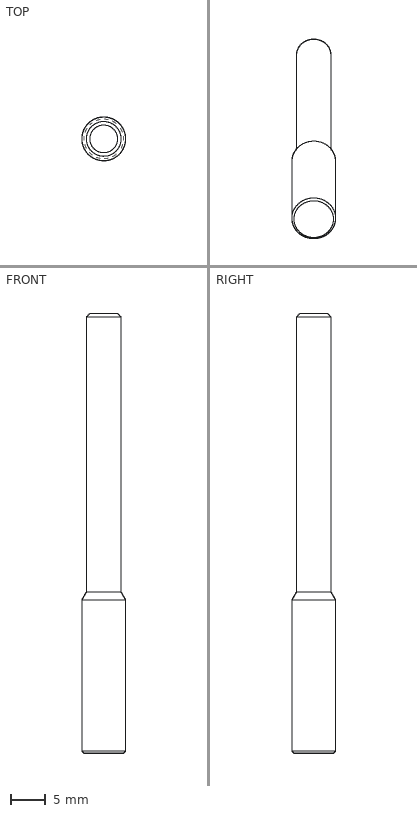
import cadquery as cq
import math

total_length = 63.0

base_diameter = 6.3
base_length = 23.1
base_chamfer = 0.3
shoulder_angle = 30.0

rod_diameter = 5.0
rod_chamfer_width = 0.5
rod_chamfer_height = 0.5

shoulder_width = (base_diameter - rod_diameter) / 2
shoulder_height = shoulder_width / math.tan(math.radians(shoulder_angle))


def revolve_profile(points):
    """Revolve a closed (radius, height) outline around the Z axis."""
    return cq.Workplane("XZ").polyline(points).close().revolve(360, (0, 0), (0, 1))


def make_base():
    """Cylinder with a chamfered foot and a conical shoulder."""
    radius = base_diameter / 2
    return revolve_profile([
        (0, 0),
        (radius - base_chamfer, 0),
        (radius, base_chamfer),
        (radius, base_length - shoulder_height),
        (rod_diameter / 2, base_length),
        (0, base_length),
    ])


def make_rod():
    """Plain rod with a chamfered free end, resting on the base."""
    radius = rod_diameter / 2
    return revolve_profile([
        (0, base_length),
        (radius, base_length),
        (radius, total_length - rod_chamfer_height),
        (radius - rod_chamfer_width, total_length),
        (0, total_length),
    ])


base = make_base()
rod = make_rod()

result = cq.Compound.makeCompound([base.val(), rod.val()])